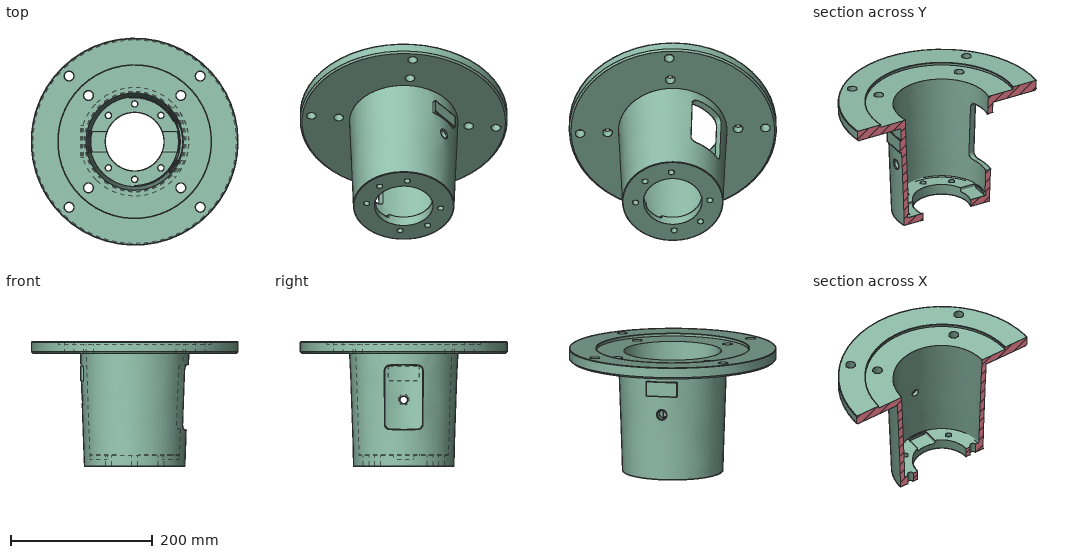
import cadquery as cq
import math

TOTAL_HEIGHT = 176.21
FLANGE_DIA = 292.1
FLANGE_THICKNESS = 16.5
FLANGE_TOP_CHAMFER = 0.8
FLANGE_BOTTOM_CHAMFER = 2.5
PILOT_DIA = 215.9
PILOT_DEPTH = 4.0
PILOT_CHAMFER = 0.6

DRAFT_SLOPE = math.tan(math.radians(2.0))
BODY_BOTTOM_DIA = 142.0
BODY_BOTTOM_CHAMFER = 0.8
CAVITY_TOP_DIA = 137.3
FLOOR_THICKNESS = 16.0
FLOOR_FILLET = 1.5
BORE_DIA = 82.55

FLANGE_HOLE_DIA = 13.5
FLANGE_HOLE_CIRCLES = (184.15, 261.6)
FLOOR_HOLE_DIA = 8.5
FLOOR_SIDE_CIRCLE = 106.4
FLOOR_DIAGONAL_CIRCLE = 104.8
DIAGONAL_ANGLE = 45
Y_AXIS_ANGLE = 90

CHANNEL_LENGTH = 126.0
CHANNEL_WIDTH = 29.3
CHANNEL_DEPTH = 6.0
CHANNEL_FILLET = 2.5

WINDOW_WIDTH = 55.0
WINDOW_TOP = TOTAL_HEIGHT - 33.0
WINDOW_BOTTOM = TOTAL_HEIGHT - 124.0
WINDOW_TAPER = 6.0
WINDOW_CORNER_RADIUS_AT_AXIS = 1.0

CROSS_HOLE_INNER_DIA = 10.0
CROSS_HOLE_OUTER_DIA = 12.4
CROSS_HOLE_RIM_DIA = 15.6
CROSS_HOLE_HEIGHT = TOTAL_HEIGHT - 82.2
WALL_OVERLAP = 1.0

PLATE_WIDTH = 45.0
PLATE_HEIGHT = 21.5
PLATE_FACE_X = -76.4
PLATE_CENTER_HEIGHT = 131.2
PLATE_CORNER_RADIUS = 2.0
PLATE_EDGE_CHAMFER = 0.8

FLANGE_BOTTOM = TOTAL_HEIGHT - FLANGE_THICKNESS
PILOT_FLOOR = TOTAL_HEIGHT - PILOT_DEPTH
WINDOW_HEIGHT = WINDOW_TOP - WINDOW_BOTTOM
WINDOW_CENTER_HEIGHT = (WINDOW_TOP + WINDOW_BOTTOM) / 2


def cone_frustum(bottom_z, bottom_radius, top_z, top_radius):
    profile = [(0, bottom_z), (bottom_radius, bottom_z), (top_radius, top_z), (0, top_z)]
    return cq.Workplane("XZ").polyline(profile).close().revolve(360, (0, 0), (0, 1))


def body_radius(z):
    return BODY_BOTTOM_DIA / 2 + z * DRAFT_SLOPE


def cavity_radius(z):
    return CAVITY_TOP_DIA / 2 - (PILOT_FLOOR - z) * DRAFT_SLOPE


def flange():
    disc = cq.Workplane("XY", origin=(0, 0, FLANGE_BOTTOM)).circle(FLANGE_DIA / 2).extrude(FLANGE_THICKNESS)
    disc = disc.faces(">Z").edges().chamfer(FLANGE_TOP_CHAMFER)
    return disc.faces("<Z").edges().chamfer(FLANGE_BOTTOM_CHAMFER)


def pilot_recess():
    recess = cq.Workplane("XY", origin=(0, 0, PILOT_FLOOR)).circle(PILOT_DIA / 2).extrude(PILOT_DEPTH)
    lead_in = cone_frustum(
        TOTAL_HEIGHT - PILOT_CHAMFER, PILOT_DIA / 2, TOTAL_HEIGHT, PILOT_DIA / 2 + PILOT_CHAMFER
    )
    return recess.union(lead_in)


def body():
    cone = cone_frustum(0, body_radius(0), FLANGE_BOTTOM, body_radius(FLANGE_BOTTOM))
    return cone.faces("<Z").edges().chamfer(BODY_BOTTOM_CHAMFER)


def cavity():
    cone = cone_frustum(FLOOR_THICKNESS, cavity_radius(FLOOR_THICKNESS), PILOT_FLOOR, CAVITY_TOP_DIA / 2)
    return cone.faces("<Z").edges().fillet(FLOOR_FILLET)


def bore():
    return cq.Workplane("XY").circle(BORE_DIA / 2).extrude(TOTAL_HEIGHT)


def name_plate():
    plate = (
        cq.Workplane("YZ", origin=(PLATE_FACE_X, 0, PLATE_CENTER_HEIGHT))
        .rect(PLATE_WIDTH, PLATE_HEIGHT)
        .extrude(-PLATE_FACE_X)
    )
    plate = plate.edges("|X").fillet(PLATE_CORNER_RADIUS)
    return plate.faces("<X").edges().chamfer(PLATE_EDGE_CHAMFER)


def bolt_holes(circle_dia, hole_dia, count, start_angle):
    return (
        cq.Workplane("XY")
        .polarArray(circle_dia / 2, start_angle, 360, count)
        .circle(hole_dia / 2)
        .extrude(TOTAL_HEIGHT)
    )


def floor_channel():
    channel = (
        cq.Workplane("XY", origin=(0, 0, FLOOR_THICKNESS - CHANNEL_DEPTH))
        .rect(CHANNEL_LENGTH, CHANNEL_WIDTH)
        .extrude(CHANNEL_DEPTH)
    )
    return channel.faces("<Z").edges("|X").fillet(CHANNEL_FILLET)


def window():
    outer_edge_x = math.sqrt(body_radius(WINDOW_CENTER_HEIGHT) ** 2 - (WINDOW_WIDTH / 2) ** 2)
    inward_shrink = 2 * outer_edge_x * math.tan(math.radians(WINDOW_TAPER))
    return (
        cq.Workplane("YZ", origin=(0, 0, WINDOW_CENTER_HEIGHT))
        .sketch()
        .rect(WINDOW_WIDTH - inward_shrink, WINDOW_HEIGHT - inward_shrink)
        .vertices()
        .fillet(WINDOW_CORNER_RADIUS_AT_AXIS)
        .finalize()
        .extrude(FLANGE_DIA / 2, taper=-WINDOW_TAPER)
    )


def cross_hole():
    outer_x = body_radius(CROSS_HOLE_HEIGHT)
    inner_x = cavity_radius(CROSS_HOLE_HEIGHT) - WALL_OVERLAP
    chamfer_depth = (CROSS_HOLE_RIM_DIA - CROSS_HOLE_OUTER_DIA) / 2
    chamfer_x = outer_x - chamfer_depth
    outer_radius = CROSS_HOLE_OUTER_DIA / 2
    outward = cq.Vector(-1, 0, 0)
    tapered_hole = cq.Solid.makeCone(
        CROSS_HOLE_INNER_DIA / 2,
        outer_radius,
        chamfer_x - inner_x,
        cq.Vector(-inner_x, 0, CROSS_HOLE_HEIGHT),
        outward,
    )
    cone_length = 2 * chamfer_depth
    chamfer = cq.Solid.makeCone(
        outer_radius,
        outer_radius + cone_length,
        cone_length,
        cq.Vector(-chamfer_x, 0, CROSS_HOLE_HEIGHT),
        outward,
    )
    return cq.Workplane(tapered_hole).union(cq.Workplane(chamfer))


result = flange().union(body()).union(name_plate())
result = result.cut(pilot_recess()).cut(cavity()).cut(bore())
result = result.cut(floor_channel()).cut(window()).cut(cross_hole())

for circle_dia in FLANGE_HOLE_CIRCLES:
    result = result.cut(bolt_holes(circle_dia, FLANGE_HOLE_DIA, 4, DIAGONAL_ANGLE))
result = result.cut(bolt_holes(FLOOR_DIAGONAL_CIRCLE, FLOOR_HOLE_DIA, 4, DIAGONAL_ANGLE))
result = result.cut(bolt_holes(FLOOR_SIDE_CIRCLE, FLOOR_HOLE_DIA, 2, Y_AXIS_ANGLE))